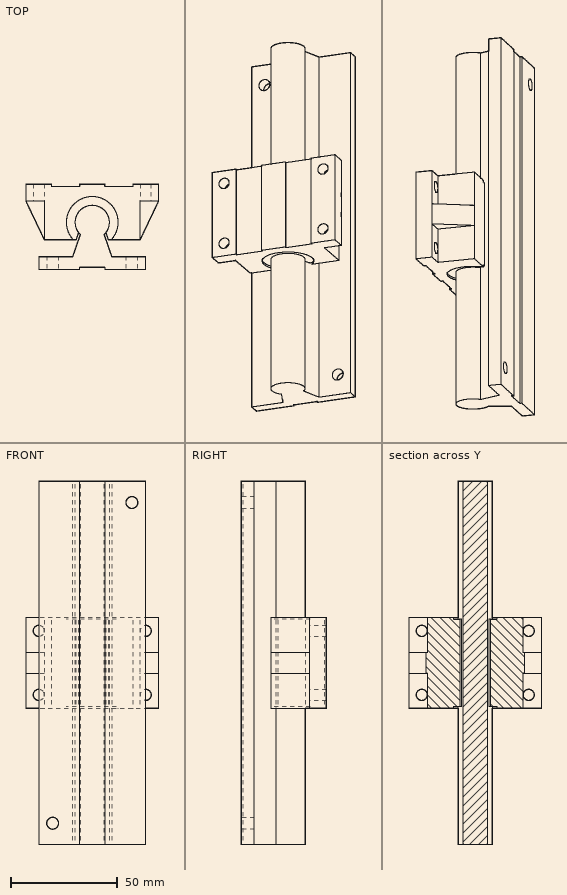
import cadquery as cq
import math


rail_length = 170.0
rail_width = 50.0
shaft_radius = 8.0
base_front = -22.1
base_thickness = 6.1
neck_top_half = 5.6
neck_foot_half = 9.2
rail_hole_radius = 2.7
rail_hole_x = 18.5
rail_hole_z = 75.0

carriage_length = 42.5
carriage_width = 62.0
carriage_back = 17.8
carriage_front = -8.2
block_width = 44.9
flange_thickness = 8.0
neck_clearance = 1.0
recess_radius = 12.0
recess_depth = 0.8
web_thickness = 9.9
flange_hole_radius = 2.5
flange_hole_x = 25.0
flange_hole_z = 15.0

channel_depth = 1.0
rail_channel_width = 11.9
carriage_channel_inner = 6.0
carriage_channel_outer = 19.0

base_back = base_front + base_thickness
neck_top_y = -math.sqrt(shaft_radius**2 - neck_top_half**2)
neck_slope = (neck_foot_half - neck_top_half) / (neck_top_y - base_back)
flange_front = carriage_back - flange_thickness


def box_between(x_min, x_max, y_min, y_max, length):
    """Box between the given X and Y limits, centred on Z = 0."""
    box = cq.Workplane("XY").box(x_max - x_min, y_max - y_min, length, centered=(False, False, True))
    return box.translate((x_min, y_min, 0))


def prism(points, length):
    """Closed XY outline extruded along Z, centred on Z = 0."""
    return cq.Workplane("XY").polyline(points).close().extrude(length / 2, both=True)


def round_bar(radius, length):
    """Cylinder on the shaft axis, centred on Z = 0."""
    return cq.Workplane("XY").circle(radius).extrude(length / 2, both=True)


def cross_holes(positions, radius, y_min, y_max):
    """Cylinders along Y, from y_min to y_max, at the given (x, z) positions."""
    plane = cq.Workplane("XZ", origin=(0, y_max, 0))
    return plane.pushPoints(positions).circle(radius).extrude(y_max - y_min)


def neck_half_width(y):
    return neck_top_half + neck_slope * (neck_top_y - y)


def make_rail():
    half_width = rail_width / 2
    rail = box_between(-half_width, half_width, base_front, base_back, rail_length)
    neck = prism(
        [
            (-neck_foot_half, base_back),
            (neck_foot_half, base_back),
            (neck_top_half, neck_top_y),
            (0, 0),
            (-neck_top_half, neck_top_y),
        ],
        rail_length,
    )
    rail = rail.union(neck).union(round_bar(shaft_radius, rail_length))

    channel_half = rail_channel_width / 2
    channel_floor = base_front + channel_depth
    rail = rail.cut(box_between(-channel_half, channel_half, base_front, channel_floor, rail_length))

    hole_positions = [(rail_hole_x, rail_hole_z), (-rail_hole_x, -rail_hole_z)]
    return rail.cut(cross_holes(hole_positions, rail_hole_radius, base_front, base_back))


def make_carriage_blank():
    """Central block, flanges and the triangular webs under the flanges."""
    block_half = block_width / 2
    flange_half = carriage_width / 2
    block = box_between(-block_half, block_half, carriage_front, carriage_back, carriage_length)
    flanges = box_between(-flange_half, flange_half, flange_front, carriage_back, carriage_length)
    webs = prism(
        [
            (-block_half, carriage_front),
            (block_half, carriage_front),
            (flange_half, flange_front),
            (-flange_half, flange_front),
        ],
        web_thickness,
    )
    return block.union(flanges).union(webs)


def cut_shaft_passage(carriage):
    """Bore for the shaft, slot for the neck and a round recess in each end."""
    carriage = carriage.cut(round_bar(shaft_radius, carriage_length))

    slot_half_front = neck_half_width(carriage_front) + neck_clearance
    slot_half_axis = neck_half_width(0) + neck_clearance
    slot = prism(
        [
            (-slot_half_front, carriage_front),
            (slot_half_front, carriage_front),
            (slot_half_axis, 0),
            (-slot_half_axis, 0),
        ],
        carriage_length,
    )
    carriage = carriage.cut(slot)

    recess_floor_span = carriage_length - 2 * recess_depth
    recesses = round_bar(recess_radius, carriage_length).cut(round_bar(recess_radius, recess_floor_span))
    return carriage.cut(recesses)


def make_carriage():
    carriage = cut_shaft_passage(make_carriage_blank())

    channel_floor = carriage_back - channel_depth
    for x_min, x_max in (
        (-carriage_channel_outer, -carriage_channel_inner),
        (carriage_channel_inner, carriage_channel_outer),
    ):
        carriage = carriage.cut(box_between(x_min, x_max, channel_floor, carriage_back, carriage_length))

    hole_positions = [
        (x, z)
        for x in (-flange_hole_x, flange_hole_x)
        for z in (-flange_hole_z, flange_hole_z)
    ]
    return carriage.cut(cross_holes(hole_positions, flange_hole_radius, flange_front, carriage_back))


rail = make_rail()
carriage = make_carriage()

result = cq.Compound.makeCompound([rail.solids().val(), carriage.solids().val()])